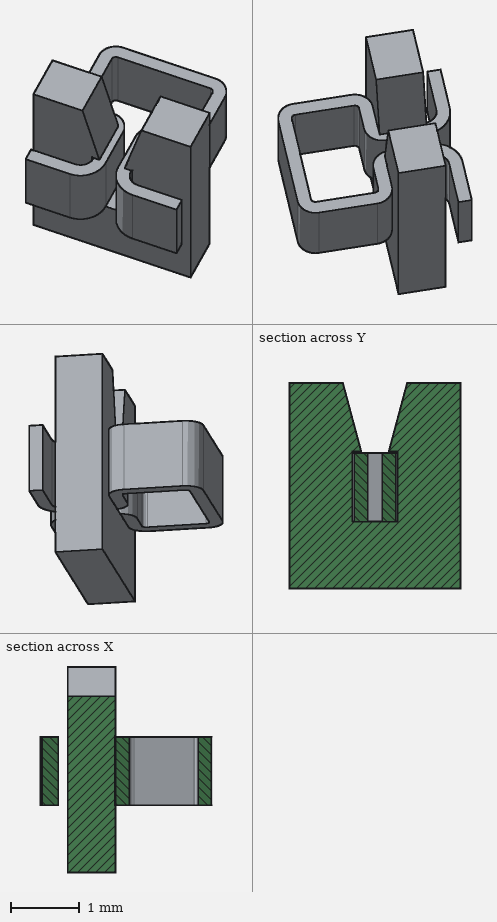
import cadquery as cq
import math

plate_width = 2.5
plate_thickness = 0.7
plate_height = 3.0

strip_thickness = 0.2
strip_height = 1.0
loop_width = 2.0
loop_depth = 1.4
loop_inner_radius = 0.065
leg_inner_radius = 0.2
leg_gap = 0.2
leg_span = 2.4

clearance = 0.02
pocket_half_width = leg_gap / 2 + strip_thickness + clearance
pocket_top = 2.0
pocket_floor = pocket_top - clearance - strip_height
entry_bottom_half_width = 0.2
entry_flank_angle = 15.0
entry_height = plate_height - pocket_top
entry_top_half_width = entry_bottom_half_width + entry_height * math.tan(math.radians(entry_flank_angle))


def make_plate():
    block = cq.Workplane("XY").box(
        plate_width, plate_thickness, plate_height, centered=(True, False, False)
    )
    pocket = cq.Workplane("XY", origin=(0, 0, pocket_floor)).box(
        2 * pocket_half_width,
        plate_thickness,
        pocket_top - pocket_floor,
        centered=(True, False, False),
    )
    entry = (
        cq.Workplane("XZ")
        .polyline([
            (-entry_bottom_half_width, pocket_top),
            (entry_bottom_half_width, pocket_top),
            (entry_top_half_width, plate_height),
            (-entry_top_half_width, plate_height),
        ])
        .close()
        .extrude(-plate_thickness)
    )
    opened = block.cut(pocket).cut(entry)

    rear_pocket_edges = cq.selectors.BoxSelector(
        (-pocket_half_width - clearance, plate_thickness - clearance, pocket_floor),
        (pocket_half_width + clearance, plate_thickness + clearance, pocket_top),
    )
    return opened.edges("|Z").edges(rear_pocket_edges).fillet(loop_inner_radius)


def make_clip():
    half_strip = strip_thickness / 2
    loop_bend = loop_inner_radius + half_strip
    leg_bend = leg_inner_radius + half_strip
    tip_x = leg_span / 2
    neck_x = leg_gap / 2 + half_strip
    side_x = loop_width / 2 - half_strip
    leg_y = -leg_bend
    loop_front_y = plate_thickness + half_strip
    loop_back_y = plate_thickness + loop_depth - half_strip

    centreline = (
        cq.Workplane("XY", origin=(0, 0, pocket_floor))
        .moveTo(tip_x, leg_y)
        .lineTo(neck_x + leg_bend, leg_y)
        .tangentArcPoint((neck_x, 0), relative=False)
        .lineTo(neck_x, loop_front_y - loop_bend)
        .tangentArcPoint((neck_x + loop_bend, loop_front_y), relative=False)
        .lineTo(side_x - loop_bend, loop_front_y)
        .tangentArcPoint((side_x, loop_front_y + loop_bend), relative=False)
        .lineTo(side_x, loop_back_y - loop_bend)
        .tangentArcPoint((side_x - loop_bend, loop_back_y), relative=False)
        .lineTo(0, loop_back_y)
    )
    half_clip = (
        cq.Workplane("YZ", origin=(tip_x, leg_y, pocket_floor + strip_height / 2))
        .rect(strip_thickness, strip_height)
        .sweep(centreline)
    )
    return half_clip.union(half_clip.mirror("YZ"))


plate = make_plate()
clip = make_clip()

result = cq.Compound.makeCompound([plate.solids().val(), clip.solids().val()])